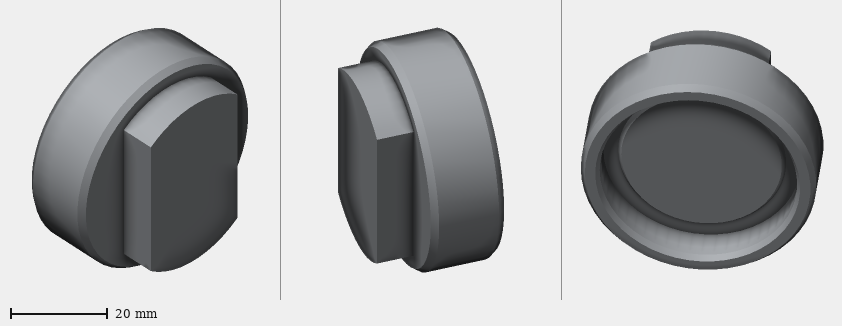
import cadquery as cq

body_diameter = 49.0
body_length = 16.0
edge_chamfer_length = 1.45
edge_chamfer_depth = 1.05

pocket_diameter = 41.05
pocket_depth = 8.0
mouth_diameter = 42.65
mouth_length = 1.25

pad_base_diameter = 35.0
pad_top_diameter = 33.4
pad_height = 1.1

total_length = 24.0
boss_diameter = 41.25
boss_width = 25.0

body_radius = body_diameter / 2
rim_radius = body_radius - edge_chamfer_depth
pocket_radius = pocket_diameter / 2
pad_top_x = pocket_depth - pad_height


def make_body():
    """Revolve the half section, given as (x, radius), about the X axis."""
    section = [
        (pad_top_x, 0),
        (pad_top_x, pad_top_diameter / 2),
        (pocket_depth, pad_base_diameter / 2),
        (pocket_depth, pocket_radius),
        (mouth_length, pocket_radius),
        (0, mouth_diameter / 2),
        (0, rim_radius),
        (edge_chamfer_length, body_radius),
        (body_length - edge_chamfer_length, body_radius),
        (body_length, rim_radius),
        (body_length, 0),
    ]
    return cq.Workplane("XY").polyline(section).close().revolve(360, (0, 0, 0), (1, 0, 0))


def make_boss():
    """Cut a cylinder down to the width across its flats."""
    boss_length = total_length - body_length
    face = cq.Workplane("YZ").workplane(offset=body_length)
    cylinder = face.circle(boss_diameter / 2).extrude(boss_length)
    slab = face.rect(boss_width, boss_diameter).extrude(boss_length)
    return cylinder.intersect(slab)


result = make_body().union(make_boss())